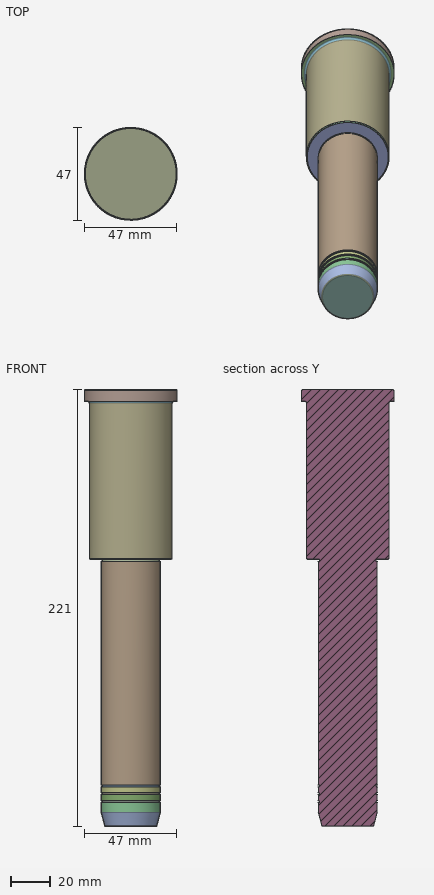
import cadquery as cq
import math

total_length = 221.0
head_diameter = 47.0
sleeve_diameter = 42.0
rod_diameter = 30.0

head_thickness = 6.0
sleeve_length = 80.0
nose_length = 7.0

nose_angle = math.radians(15)

head_chamfer = 0.5
sleeve_chamfer = 0.5
tip_fillet = 0.5
head_corner_fillet = 1.0

undercut_width = 1.0
undercut_depth = 0.5

groove_count = 3
groove_pitch = 4.0
groove_radius = 0.5
lowest_groove_height = 12.5

head_bottom = total_length - head_thickness
sleeve_bottom = head_bottom - sleeve_length
undercut_bottom = sleeve_bottom - undercut_width

head_radius = head_diameter / 2
sleeve_radius = sleeve_diameter / 2
rod_radius = rod_diameter / 2
undercut_radius = rod_radius - undercut_depth
tip_radius = rod_radius - nose_length * math.tan(nose_angle)


def pin_body():
    """Stepped pin around the Z axis, drawn as a half profile from the tip up to the head."""
    half_profile = (
        cq.Workplane("XZ")
        .lineTo(-tip_radius, 0)
        .lineTo(-rod_radius, nose_length)
        .lineTo(-rod_radius, undercut_bottom)
        .lineTo(-undercut_radius, undercut_bottom)
        .lineTo(-undercut_radius, sleeve_bottom)
        .lineTo(-sleeve_radius + sleeve_chamfer, sleeve_bottom)
        .lineTo(-sleeve_radius, sleeve_bottom + sleeve_chamfer)
        .lineTo(-sleeve_radius, head_bottom - head_corner_fillet)
        .tangentArcPoint((-head_corner_fillet, head_corner_fillet))
        .lineTo(-head_radius, head_bottom)
        .lineTo(-head_radius, total_length - head_chamfer)
        .lineTo(-head_radius + head_chamfer, total_length)
        .lineTo(0, total_length)
        .close()
    )
    return half_profile.revolve(360, (0, 0, 0), (0, 1, 0))


def round_tip(body):
    return body.faces("<Z").edges().fillet(tip_fillet)


def ring_groove(height):
    """Ring of round section, centred on the rod surface, that cuts a half-round groove."""
    section = cq.Workplane("XZ").center(-rod_radius, height).circle(groove_radius)
    return section.revolve(360, (rod_radius, 0, 0), (rod_radius, 1, 0))


result = round_tip(pin_body())
for index in range(groove_count):
    result = result.cut(ring_groove(lowest_groove_height + index * groove_pitch))